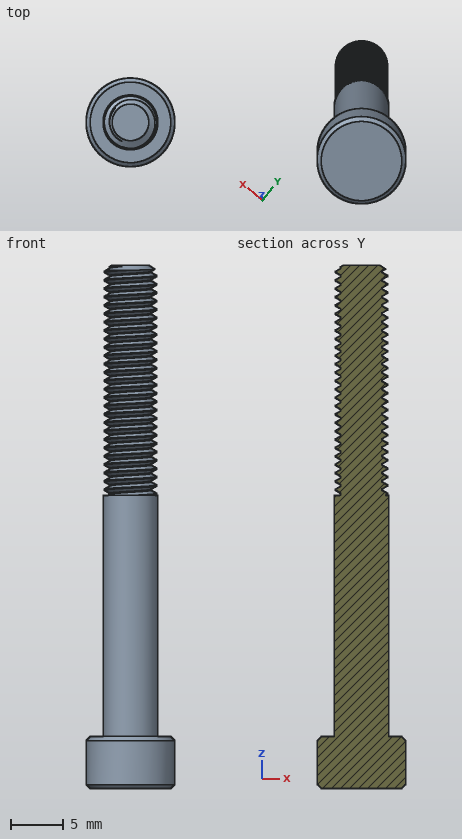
import cadquery as cq
import math

total_length = 50.0
head_height = 5.0
thread_length = 22.0
thread_start = total_length - thread_length

head_diameter = 8.5
head_chamfer = 0.4
shank_diameter = 5.25

thread_diameter = 5.0
pitch = 0.8
flank_half_angle = math.radians(30)
crest_width = pitch / 8
root_width = pitch / 8
groove_opening = pitch - crest_width
thread_depth = (groove_opening - root_width) / 2 / math.tan(flank_half_angle)
crest_radius = thread_diameter / 2
root_radius = crest_radius - thread_depth
groove_offset = 0.55

tip_radius = 1.75
tip_cone_height = 0.5

groove_overrun = 2 * pitch
rod_overrun = 2 * groove_overrun
cutter_overrun = crest_width / 2
rod_seam_angle = 37.0


def make_head():
    head = cq.Workplane("XY").circle(head_diameter / 2).extrude(head_height)
    return head.faces("<Z or >Z").chamfer(head_chamfer)


def make_shank():
    shank_length = thread_start - head_height
    return cq.Workplane("XY").workplane(offset=head_height).circle(shank_diameter / 2).extrude(shank_length)


def make_oversize_rod():
    """Plain rod at the crest diameter, longer than the thread at both ends."""
    rod = (
        cq.Workplane("XY")
        .workplane(offset=thread_start - rod_overrun)
        .circle(crest_radius)
        .extrude(thread_length + 2 * rod_overrun)
    )
    return rod.rotate((0, 0, 0), (0, 0, 1), rod_seam_angle)


def make_groove_cutter():
    """Trapezoid swept along a helix that starts on the +X side below the thread."""
    bottom = thread_start + groove_offset - groove_overrun
    helix_height = thread_length + 2 * groove_overrun
    outer_radius = crest_radius + cutter_overrun
    root_half = root_width / 2
    outer_half = groove_opening / 2 + cutter_overrun * math.tan(flank_half_angle)

    helix = cq.Wire.makeHelix(pitch, helix_height, root_radius, center=cq.Vector(0, 0, bottom))
    return (
        cq.Workplane("XZ")
        .moveTo(root_radius, bottom - root_half)
        .lineTo(outer_radius, bottom - outer_half)
        .lineTo(outer_radius, bottom + outer_half)
        .lineTo(root_radius, bottom + root_half)
        .close()
        .sweep(cq.Workplane(helix), isFrenet=True)
    )


def make_thread_envelope():
    """Space the thread may fill: its length, with the tip cone carried on past the crests."""
    clear_radius = 2 * crest_radius - tip_radius
    clear_cone_base = total_length - 2 * tip_cone_height
    return (
        cq.Workplane("XZ")
        .moveTo(0, thread_start)
        .lineTo(clear_radius, thread_start)
        .lineTo(clear_radius, clear_cone_base)
        .lineTo(tip_radius, total_length)
        .lineTo(0, total_length)
        .close()
        .revolve(360, (0, 0, 0), (0, 1, 0))
    )


def make_thread():
    grooved_rod = make_oversize_rod().cut(make_groove_cutter(), clean=False)
    return grooved_rod.intersect(make_thread_envelope())


result = make_head().union(make_shank()).union(make_thread())